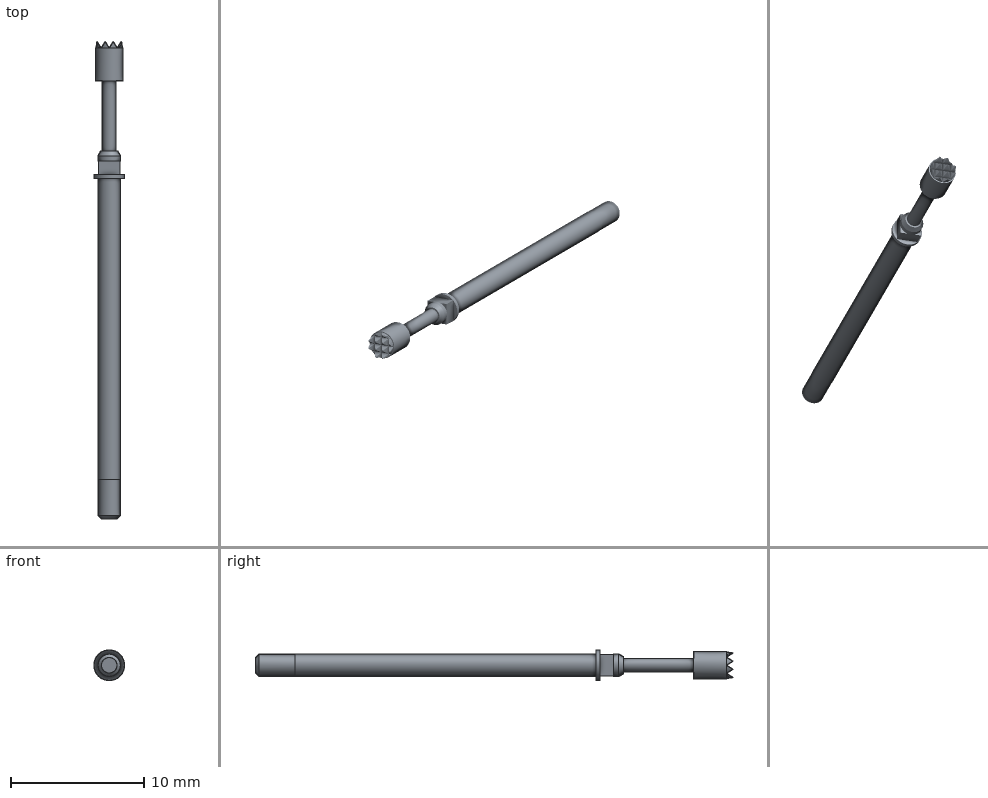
import cadquery as cq


TOTAL_LENGTH = 35.8
HEAD_LENGTH = 2.95
CROWN_LENGTH = 0.48
ROD_LENGTH = 5.25
NOSE_CONE_LENGTH = 0.37
NOSE_RING_LENGTH = 0.4
SQUARE_LENGTH = 1.0
FLANGE_THICKNESS = 0.32
TAIL_LENGTH = 2.95
TAIL_CHAMFER = 0.25

HEAD_DIAMETER = 2.1
CROWN_DIAMETER = 1.96
ROD_DIAMETER = 1.05
NOSE_TIP_DIAMETER = 1.28
BARREL_DIAMETER = 1.7
TAIL_DIAMETER = 1.66
SQUARE_WIDTH = 1.62
FLANGE_DIAMETER = 2.3

GROOVE_PITCH = 0.6
GROOVES_EACH_SIDE = 2

square_start = FLANGE_THICKNESS
ring_start = square_start + SQUARE_LENGTH
cone_start = ring_start + NOSE_RING_LENGTH
rod_start = cone_start + NOSE_CONE_LENGTH
head_start = rod_start + ROD_LENGTH
tip_end = head_start + HEAD_LENGTH
crown_start = tip_end - CROWN_LENGTH
tail_end = tip_end - TOTAL_LENGTH
barrel_length = -tail_end - TAIL_LENGTH


def section_at(y):
    """Workplane normal to +Y at station y."""
    return cq.Workplane("XZ", origin=(0, y, 0)).transformed(rotate=(180, 0, 0))


def cylinder(y, length, diameter):
    return section_at(y).circle(diameter / 2).extrude(length)


def tail():
    return cylinder(tail_end, TAIL_LENGTH, TAIL_DIAMETER).faces("<Y").chamfer(TAIL_CHAMFER)


def barrel():
    return cylinder(-barrel_length, barrel_length, BARREL_DIAMETER)


def flange():
    return cylinder(0, FLANGE_THICKNESS, FLANGE_DIAMETER)


def square_drive():
    return section_at(square_start).rect(SQUARE_WIDTH, SQUARE_WIDTH).extrude(SQUARE_LENGTH)


def nose():
    cone = (
        section_at(cone_start)
        .circle(BARREL_DIAMETER / 2)
        .workplane(offset=NOSE_CONE_LENGTH)
        .circle(NOSE_TIP_DIAMETER / 2)
        .loft()
    )
    return cylinder(ring_start, NOSE_RING_LENGTH, BARREL_DIAMETER).union(cone)


def rod():
    return cylinder(rod_start, ROD_LENGTH, ROD_DIAMETER)


def v_groove(offset):
    """V-shaped cutter along Z at x = offset, from the tip down to the crown base."""
    half_width = GROOVE_PITCH / 2
    return (
        cq.Workplane("XY")
        .moveTo(offset - half_width, tip_end)
        .lineTo(offset, crown_start)
        .lineTo(offset + half_width, tip_end)
        .close()
        .extrude(HEAD_DIAMETER, both=True)
    )


def serrated_head():
    crown = cylinder(crown_start, CROWN_LENGTH, CROWN_DIAMETER)
    for index in range(-GROOVES_EACH_SIDE, GROOVES_EACH_SIDE + 1):
        groove = v_groove(index * GROOVE_PITCH)
        crossing_groove = groove.rotate((0, 0, 0), (0, 1, 0), 90)
        crown = crown.cut(groove).cut(crossing_groove)
    body = cylinder(head_start, HEAD_LENGTH - CROWN_LENGTH, HEAD_DIAMETER)
    return body.union(crown)


result = (
    tail()
    .union(barrel())
    .union(flange())
    .union(square_drive())
    .union(nose())
    .union(rod())
    .union(serrated_head())
)